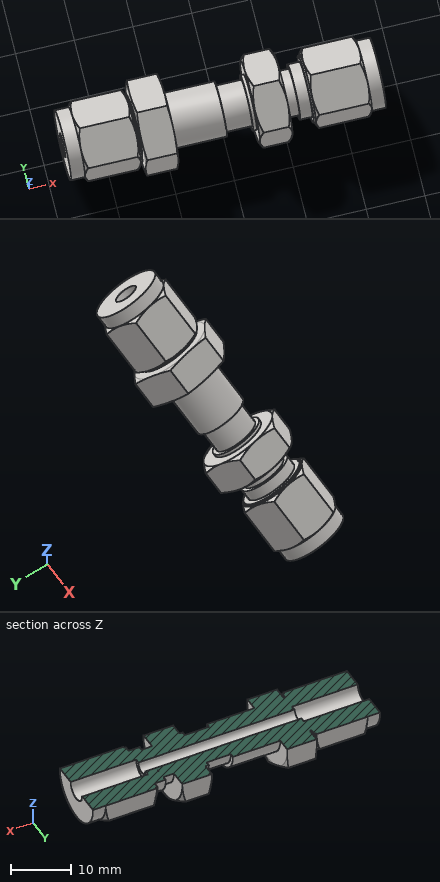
import cadquery as cq
import math

length = 53.6
hex_cone_angle = 30.0
body_cone_angle = 12.0

collar_length = 2.35
collar_diameter = 11.95
end_nut_flats = 12.0
end_nut_inner_face = 11.9
flange_length = 0.3
flange_diameter = 11.4

body_hex_start = 12.45
body_hex_length = 5.6
body_hex_flats = 14.3

shank_diameter = 9.45
shank_end = 26.85
thread_diameter = 7.95
shoulder_start = 39.35

washer_start = 31.3
washer_length = 0.6
locknut_length = 5.6
locknut_flats = 14.0

bore_diameter = 2.4
socket_diameter = 4.1
socket_depth = 12.2


def cylinder(start, end, diameter):
    """Round bar along X."""
    return cq.Workplane("YZ", origin=(start, 0, 0)).circle(diameter / 2).extrude(end - start)


def chamfered_hex(start, end, flats, face_diameter, cone_angle):
    """Hexagon along X, corners up and down, with both ends turned to a cone."""
    corners = flats / math.cos(math.radians(30))
    corner_radius = corners / 2
    face_radius = face_diameter / 2
    cone_depth = (corner_radius - face_radius) * math.tan(math.radians(cone_angle))
    prism = (
        cq.Workplane("YZ", origin=(start, 0, 0))
        .transformed(rotate=(0, 0, 90))
        .polygon(6, corners)
        .extrude(end - start)
    )
    envelope = (
        cq.Workplane("XZ")
        .moveTo(start, 0)
        .lineTo(start, face_radius)
        .lineTo(start + cone_depth, corner_radius)
        .lineTo(end - cone_depth, corner_radius)
        .lineTo(end, face_radius)
        .lineTo(end, 0)
        .close()
        .revolve(360, (0, 0, 0), (1, 0, 0))
    )
    return prism.intersect(envelope)


def compression_nut():
    """Nut at the X = 0 end: collar, hexagon and thin flange."""
    collar = cylinder(0, collar_length, collar_diameter)
    hexagon = chamfered_hex(
        collar_length, end_nut_inner_face, end_nut_flats, collar_diameter, hex_cone_angle
    )
    flange = cylinder(end_nut_inner_face, end_nut_inner_face + flange_length, flange_diameter)
    return collar.union(hexagon).union(flange)


def at_far_end(shape):
    """Mirror image of a shape about the middle of the length."""
    return shape.mirror("YZ", (length / 2, 0, 0))


flange_end = end_nut_inner_face + flange_length
stem = cylinder(flange_end, shank_end, shank_diameter)
stem = stem.union(cylinder(shank_end, shoulder_start, thread_diameter))
stem = stem.union(cylinder(shoulder_start, length - flange_end, shank_diameter))

body_hex = chamfered_hex(
    body_hex_start, body_hex_start + body_hex_length, body_hex_flats, body_hex_flats, body_cone_angle
)
locknut_start = washer_start + washer_length
washer_face = cylinder(washer_start, locknut_start, shank_diameter)
locknut = chamfered_hex(
    locknut_start, locknut_start + locknut_length, locknut_flats, locknut_flats, hex_cone_angle
)

near_nut = compression_nut()
near_socket = cylinder(0, socket_depth, socket_diameter)
passage = cylinder(0, length, bore_diameter).union(near_socket).union(at_far_end(near_socket))

result = stem.union(body_hex).union(washer_face).union(locknut)
result = result.union(near_nut).union(at_far_end(near_nut)).cut(passage)